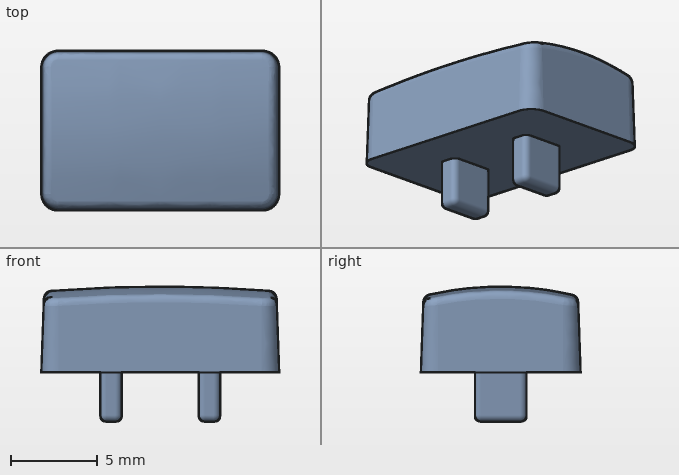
import cadquery as cq

length = 13.73
width = 9.23
corner_radius = 1.0
wall_draft = 2.0
top_edge_radius = 0.5

crown_height = 4.95
crown_radius_x = 81.01
crown_radius_y = 18.54
block_margin = 0.69

pin_spacing = 5.67
pin_thickness = 1.25
pin_width = 3.0
pin_length = 2.84
pin_edge_radius = 0.36


def drafted_block():
    """Rounded rectangle drawn up past the crown, tapering inward."""
    outline = cq.Sketch().rect(length, width).vertices().fillet(corner_radius)
    return (
        cq.Workplane("XY")
        .placeSketch(outline)
        .extrude(crown_height + block_margin, taper=wall_draft)
    )


def crown():
    """Barrel whose upper skin is curved both ways, turned about a line parallel to Y."""
    axis_z = crown_height - crown_radius_x
    half_span = width / 2
    edge_drop = crown_radius_y - (crown_radius_y**2 - half_span**2) ** 0.5
    edge_z = crown_height - edge_drop
    return (
        cq.Workplane("YZ")
        .moveTo(-half_span, axis_z)
        .lineTo(-half_span, edge_z)
        .threePointArc((0, crown_height), (half_span, edge_z))
        .lineTo(half_span, axis_z)
        .close()
        .revolve(360, (-half_span, axis_z, 0), (half_span, axis_z, 0))
    )


def cap():
    """Drafted block trimmed by the crown, with its whole upper rim rounded."""
    return drafted_block().intersect(crown()).faces(">Z").edges().fillet(top_edge_radius)


def pin(x):
    """Mounting pin hanging from the underside, rounded on its sides and tip."""
    return (
        cq.Workplane("XY")
        .center(x, 0)
        .rect(pin_thickness, pin_width)
        .extrude(-pin_length)
        .edges("|Z")
        .fillet(pin_edge_radius)
        .faces("<Z")
        .edges()
        .fillet(pin_edge_radius)
    )


result = cap()
for side in (-1, 1):
    result = result.union(pin(side * pin_spacing / 2))